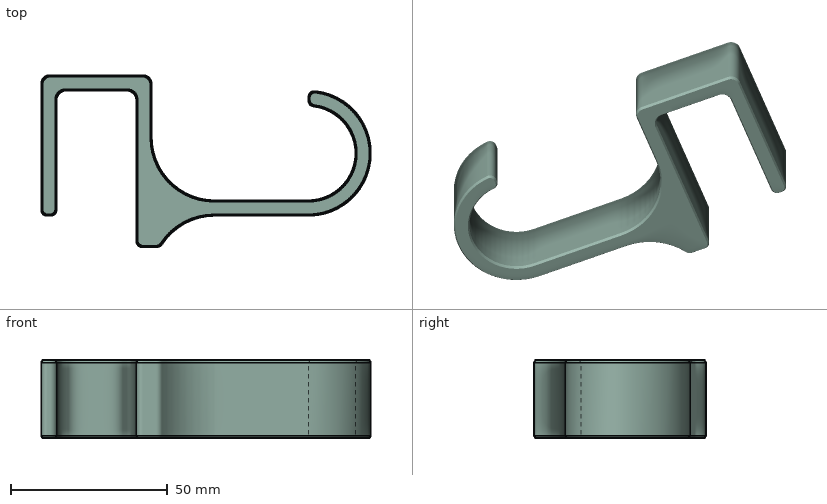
import cadquery as cq
import math

wall = 5.0
depth = 25.0
clip_gap = 25.4
arm_length = 45.0
post_length = 55.0
shank_length = 50.0
hook_radius = 20.0
gusset_radius = 20.0
outer_corner = 3.0
inner_corner = 3.0
end_rounding = 2.0
bevel_inset = 0.5
bevel_angle = math.radians(30)
bevel_height = bevel_inset / math.tan(bevel_angle)

gap_left = wall
gap_right = gap_left + clip_gap
post_right = gap_right + wall
hook_x = post_right + shank_length
gusset_x = post_right + gusset_radius

shank_bottom = -arm_length
shank_top = shank_bottom + wall
hook_y = shank_bottom + hook_radius
upper_gusset_y = shank_top + gusset_radius
lower_gusset_y = shank_bottom - gusset_radius
hook_inner_radius = hook_radius - wall

foot_rise = -post_length - lower_gusset_y
foot_angle = math.pi - math.asin(foot_rise / gusset_radius)


def on_circle(center_x, center_y, radius, angle):
    return (center_x + radius * math.cos(angle), center_y + radius * math.sin(angle))


def lower_gusset(angle):
    return on_circle(gusset_x, lower_gusset_y, gusset_radius, angle)


def upper_gusset(angle):
    return on_circle(gusset_x, upper_gusset_y, gusset_radius, angle)


def hook_body():
    """Sharp-cornered hook outline, extruded along Z."""
    return (
        cq.Workplane("XY")
        .moveTo(0, 0)
        .lineTo(0, -arm_length)
        .lineTo(gap_left, -arm_length)
        .lineTo(gap_left, -wall)
        .lineTo(gap_right, -wall)
        .lineTo(gap_right, -post_length)
        .lineTo(*lower_gusset(foot_angle))
        .threePointArc(lower_gusset((foot_angle + math.pi / 2) / 2), (gusset_x, shank_bottom))
        .lineTo(hook_x, shank_bottom)
        .threePointArc((hook_x + hook_radius, hook_y), (hook_x, hook_y + hook_radius))
        .lineTo(hook_x, hook_y + hook_inner_radius)
        .threePointArc((hook_x + hook_inner_radius, hook_y), (hook_x, shank_top))
        .lineTo(gusset_x, shank_top)
        .threePointArc(upper_gusset(math.radians(225)), (post_right, upper_gusset_y))
        .lineTo(post_right, 0)
        .close()
        .extrude(depth)
    )


def round_corners(body, corners, radius):
    """Fillet the Z edges that pass through the given XY corners."""
    for x, y in corners:
        edge = cq.selectors.NearestToPointSelector((x, y, depth / 2))
        body = body.edges("|Z").edges(edge).fillet(radius)
    return body


outer_corners = [(0, 0), (post_right, 0)]
inner_corners = [(gap_left, -wall), (gap_right, -wall)]
end_corners = [
    (0, -arm_length),
    (gap_left, -arm_length),
    (gap_right, -post_length),
    lower_gusset(foot_angle),
    (hook_x, hook_y + hook_radius),
    (hook_x, hook_y + hook_inner_radius),
]

result = hook_body()
result = round_corners(result, outer_corners, outer_corner)
result = round_corners(result, inner_corners, inner_corner)
result = round_corners(result, end_corners, end_rounding)

for flat_face in (">Z", "<Z"):
    result = result.faces(flat_face).chamfer(bevel_height, bevel_inset)